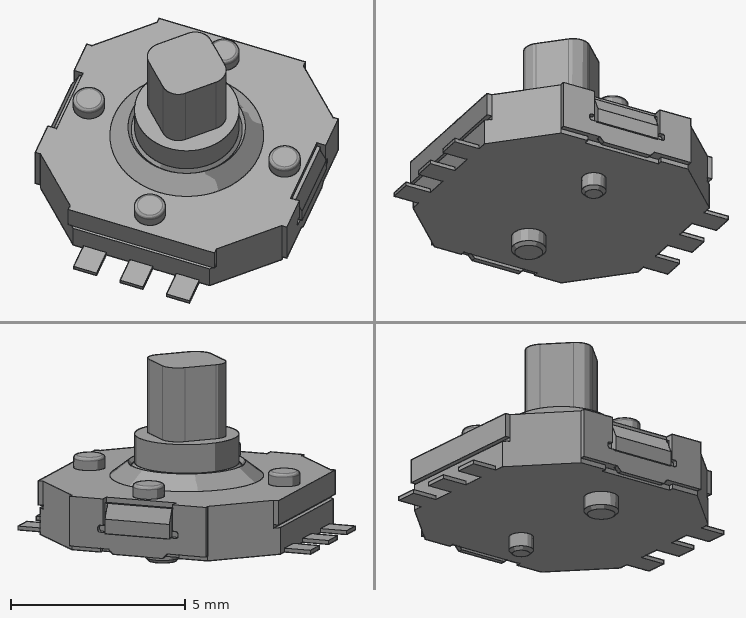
import cadquery as cq
import math


sheet = 0.15
body_half = 3.7
corner_sum = 5.79
cover_top = 1.6
plate_bottom = cover_top - sheet
groove_bottom = 0.78
groove_top = 0.89
end_wall = body_half - sheet
end_flap_half = corner_sum - end_wall

side_flap_half = 2.1
side_flap_bottom = 0.14
side_flap_face = body_half + sheet
tab_half_top = 0.9
tab_half_bottom = 0.765
tab_recess_half = 1.21

window_half = 1.07
window_bottom = 0.62
window_inner_x = 3.58
ear_half = 1.23
ear_top = 0.82
ear_round = 0.07
hook_half = 0.99
hook_bottom = 0.59
hook_bend = 1.03
hook_span = 7.8
hook_face = hook_span / 2

cone_top = 2.01
cone_radius_bottom = 2.205
cone_radius_top = 1.68
cone_run = cone_radius_bottom - cone_radius_top
cone_rise = cone_top - cover_top
cone_slant = math.hypot(cone_run, cone_rise)
rim_radius = cone_radius_top - sheet * cone_rise / cone_slant
rim_bottom = cone_top - sheet * cone_run / cone_slant

rivet_pitch_radius = 3.0
rivet_diameter = 0.9
rivet_top = 1.97
rivet_round = 0.09

peg_offset = 1.9
peg_length = 0.5
peg_chamfer = 0.1
small_peg_diameter = 0.7
large_peg_diameter = 1.0

terminal_tip = 4.5
terminal_width = 0.7
terminal_pitch = 1.42
terminal_thickness = 0.12

stem_top = 4.995
collar_diameter = 3.0
collar_top = 2.83
shaft_width = 1.94
shaft_corner_radius = 0.49
flare_top = 1.99
flare_slope = (rim_radius - collar_diameter / 2) / (flare_top - rim_bottom)
flare_base_radius = rim_radius + (rim_bottom - plate_bottom) * flare_slope


def block(x_range, y_range, z_range):
    """Axis-aligned box spanning the three (low, high) ranges."""
    lows, highs = zip(x_range, y_range, z_range)
    size = [high - low for low, high in zip(lows, highs)]
    return cq.Workplane("XY").box(*size, centered=False).translate(lows)


def turned(profile):
    """Solid of revolution about the Z axis from (radius, height) points."""
    return cq.Workplane("XZ").polyline(profile).close().revolve(360, (0, 0), (0, 1))


def half_turn(shape):
    """Copy of the shape on the opposite side of the Z axis."""
    return shape.rotate((0, 0, 0), (0, 0, 1), 180)


def octagon_block():
    near = corner_sum - body_half
    return (
        cq.Workplane("XY")
        .polyline([
            (body_half, -near), (body_half, near), (near, body_half), (-near, body_half),
            (-body_half, near), (-body_half, -near), (-near, -body_half), (near, -body_half),
        ])
        .close()
        .extrude(cover_top)
    )


def end_rebate():
    """Material removed above the groove floor at the -Y end of the block."""
    return block((-body_half, body_half), (-body_half, -end_wall), (groove_bottom, cover_top))


def end_flap():
    return block((-end_flap_half, end_flap_half), (-body_half, -end_wall), (groove_top, cover_top))


def side_flap():
    """Flap on the -X side, with its tapered tab reaching the mounting plane."""
    return (
        cq.Workplane("YZ", origin=(-side_flap_face, 0, 0))
        .polyline([
            (-side_flap_half, cover_top), (-side_flap_half, side_flap_bottom),
            (-tab_half_top, side_flap_bottom), (-tab_half_bottom, 0),
            (tab_half_bottom, 0), (tab_half_top, side_flap_bottom),
            (side_flap_half, side_flap_bottom), (side_flap_half, cover_top),
        ])
        .close()
        .extrude(sheet)
    )


def tab_recess():
    """Clearance in the -X foot of the block behind the tab."""
    return block(
        (-body_half, -end_wall), (-tab_recess_half, tab_recess_half), (0, side_flap_bottom)
    )


def latch_window():
    """Window through the -X flap, open through the cover plate and eared at its lower corners."""
    flap_range = (-side_flap_face, -body_half)
    opening = block(flap_range, (-window_half, window_half), (window_bottom, cover_top))
    ears = block(flap_range, (-ear_half, ear_half), (window_bottom, ear_top))
    ears = ears.edges("|X").fillet(ear_round)
    plate_notch = block(
        (-side_flap_face, -window_inner_x), (-window_half, window_half), (plate_bottom, cover_top)
    )
    return opening.union(ears).union(plate_notch)


def latch_hook():
    """Wedge on the -X side of the block that fills the window."""
    return (
        cq.Workplane("XZ", origin=(0, hook_half, 0))
        .polyline([
            (-body_half, hook_bottom), (-hook_face, hook_bottom),
            (-hook_face, hook_bend), (-body_half, plate_bottom),
        ])
        .close()
        .extrude(2 * hook_half)
    )


def cover_cone():
    return turned([
        (0, cover_top), (cone_radius_bottom, cover_top), (cone_radius_top, cone_top), (0, cone_top),
    ])


def stem_cavity():
    """Space inside the cover for the stem flare, with the rim opening above it."""
    return turned([
        (0, plate_bottom), (flare_base_radius, plate_bottom), (rim_radius, rim_bottom),
        (cone_radius_top, cone_top), (0, cone_top),
    ])


def rivet_heads():
    return (
        cq.Workplane("XY", origin=(0, 0, cover_top))
        .polarArray(rivet_pitch_radius, 0, 360, 4)
        .circle(rivet_diameter / 2)
        .extrude(rivet_top - cover_top)
        .faces(">Z").edges().fillet(rivet_round)
    )


def peg(x, diameter):
    return (
        cq.Workplane("XY")
        .center(x, 0)
        .circle(diameter / 2)
        .extrude(-peg_length)
        .faces("<Z").chamfer(peg_chamfer)
    )


def terminal(x):
    """Terminal projecting from the -Y end."""
    half = terminal_width / 2
    return block((x - half, x + half), (-terminal_tip, -body_half), (0, terminal_thickness))


def make_housing():
    body = octagon_block()
    for place in (lambda shape: shape, half_turn):
        body = body.cut(place(end_rebate())).union(place(end_flap()))
        body = body.cut(place(tab_recess())).union(place(side_flap()))
        body = body.cut(place(latch_window())).union(place(latch_hook()))
        for x in (-terminal_pitch, 0, terminal_pitch):
            body = body.union(place(terminal(x)))
    body = body.union(cover_cone()).cut(stem_cavity())
    body = body.union(rivet_heads())
    body = body.union(peg(-peg_offset, small_peg_diameter))
    return body.union(peg(peg_offset, large_peg_diameter))


def make_stem():
    collar_radius = collar_diameter / 2
    collar = turned([
        (0, plate_bottom), (flare_base_radius, plate_bottom), (collar_radius, flare_top),
        (collar_radius, collar_top), (0, collar_top),
    ])
    shaft = (
        cq.Workplane("XY", origin=(0, 0, collar_top))
        .rect(shaft_width, shaft_width)
        .extrude(stem_top - collar_top)
        .edges("|Z").fillet(shaft_corner_radius)
        .rotate((0, 0, 0), (0, 0, 1), 45)
    )
    return collar.union(shaft)


housing = make_housing()
stem = make_stem()
result = cq.Compound.makeCompound([housing.solids().val(), stem.solids().val()])